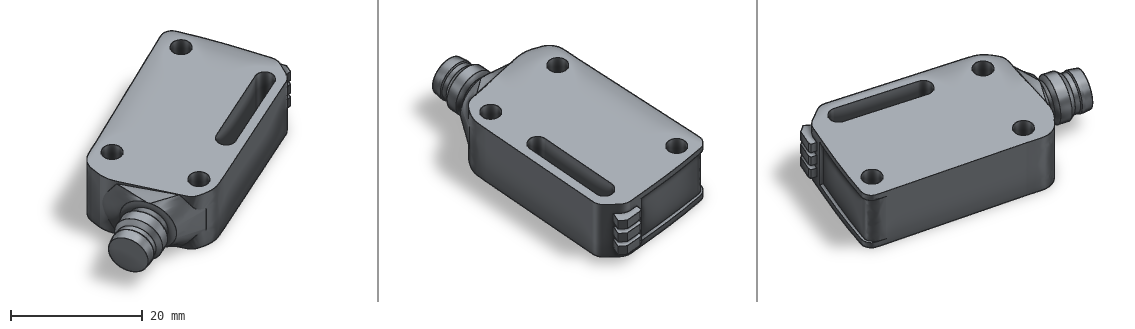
import cadquery as cq
import math


thickness = 11.0
half_thickness = thickness / 2
left_x = -13.05
right_x = 8.47
left_side_top_y = 32.9
left_side_bottom = (-12.35, 7.96)
right_side_top = (right_x, 31.9)
right_side_bottom = (right_x, 9.06)
back_corner_end = (-11.1, 35.3)
back_edge_end = (4.4, 35.92)
front_wall_right = (4.8, 2.77)
front_wall_left = (-5.7, 1.42)

hole_diameter = 3.3
left_hole_x = -9.2
right_hole_x = 5.28
front_hole_y = 7.0
back_hole_y = 32.37
slot_width = 3.2
slot_front_y = 15.4
slot_back_y = 32.8

recess_height = 8.84
recess_start_y = 31.76
recess_depth = 0.66
recess_end_x = 2.0

button_height = 1.78
button_pitch = 2.68
button_count = 3
button_top_y = 37.1
button_left_x = 3.04

mouth_half_width = 4.72
mouth_half_height = 4.52
mouth_side_angle = 15.0
mouth_flat = 0.3
neck_slope = 0.34
neck_left_depth = 2.0
neck_left_flat_x = -8.3
neck_left_tip_x = -9.4
neck_right_depth = 4.7
neck_right_flat_x = 6.7
neck_right_x = 7.55
neck_right_half_height = 2.0
neck_facet_left_x = -6.0

connector_length = 7.37
stem_radius = 3.31
collar_radius = 4.0
tip_radius = 3.47
collar_start = 1.03
collar_full = 1.70
collar_taper = 3.59
collar_end = 4.44
tip_start = 5.33
tip_full = 5.55
tip_taper = 6.1


def make_housing():
    outline = (
        cq.Workplane("XY", origin=(0, 0, -half_thickness))
        .moveTo(*left_side_bottom)
        .lineTo(left_x, left_side_top_y)
        .spline(
            [(left_x + 0.28, 34.4), (-12.2, 34.98), back_corner_end],
            tangents=[(0, 1), (1, 0.12)],
            includeCurrent=True,
        )
        .threePointArc((-6.0, 35.7), (0.0, 35.88))
        .lineTo(*back_edge_end)
        .threePointArc((5.5, 35.6), (6.3, 34.95))
        .lineTo(7.75, 33.6)
        .threePointArc((8.3, 32.8), right_side_top)
        .lineTo(*right_side_bottom)
        .spline(
            [(8.06, 5.7), (6.9, 3.9), front_wall_right],
            tangents=[(0, -1), (-1, -0.13)],
            includeCurrent=True,
        )
        .lineTo(*front_wall_left)
        .threePointArc((-7.3, 1.37), (-8.77, 1.65))
        .lineTo(-10.5, 2.4)
        .spline(
            [(-11.9, 3.7), left_side_bottom],
            tangents=[(-1, 0.44), (-0.03, 1)],
            includeCurrent=True,
        )
        .close()
    )
    return outline.extrude(thickness)


def left_side_x(y):
    bottom_x, bottom_y = left_side_bottom
    taper = (left_x - bottom_x) / (left_side_top_y - bottom_y)
    return bottom_x + taper * (y - bottom_y)


def make_corner_recess():
    margin = 1.0
    outer_y = back_edge_end[1] + margin
    step_y = back_edge_end[1] - recess_depth
    return (
        cq.Workplane("XY", origin=(0, 0, -recess_height / 2))
        .moveTo(left_side_x(recess_start_y), recess_start_y)
        .spline(
            [(-12.83, 33.6), (-12.25, 34.45), (-11.1, 34.85)],
            tangents=[(0, 1), (1, 0.12)],
            includeCurrent=True,
        )
        .threePointArc((-5.0, 35.16), (recess_end_x, step_y))
        .lineTo(recess_end_x, outer_y)
        .lineTo(left_x - margin, outer_y)
        .lineTo(left_x - margin, recess_start_y)
        .close()
        .extrude(recess_height)
    )


def make_holes():
    bottom = cq.Workplane("XY", origin=(0, 0, -half_thickness))
    centers = [
        (left_hole_x, front_hole_y),
        (left_hole_x, back_hole_y),
        (right_hole_x, front_hole_y),
    ]
    holes = bottom.pushPoints(centers).circle(hole_diameter / 2).extrude(thickness)
    slot = (
        bottom.center(right_hole_x, (slot_front_y + slot_back_y) / 2)
        .slot2D(slot_back_y - slot_front_y, slot_width, 90)
        .extrude(thickness)
    )
    return holes.union(slot)


def make_button(center_z):
    profile = [
        (button_left_x, 35.0),
        (button_left_x, 36.9),
        (3.5, button_top_y),
        (6.23, button_top_y),
        (7.33, 36.2),
        (6.6, 34.2),
    ]
    return (
        cq.Workplane("XY", origin=(0, 0, center_z - button_height / 2))
        .polyline(profile)
        .close()
        .extrude(button_height)
    )


def facet_height(y):
    return mouth_half_height + neck_slope * y


def mouth_point(degrees):
    angle = math.radians(degrees)
    return mouth_half_width * math.cos(angle), mouth_half_height * math.sin(angle)


def ruled_loft(near_wire, far_wire):
    return cq.Workplane(cq.Solid.makeLoft([near_wire, far_wire], True))


def section_plane(y):
    return cq.Workplane(cq.Plane(origin=(0, y, 0), xDir=(1, 0, 0), normal=(0, -1, 0)))


def left_section(y, inner_x, flat_x, tip_x, height):
    return (
        section_plane(y)
        .moveTo(inner_x, height)
        .lineTo(flat_x, height)
        .threePointArc((tip_x, 0), (flat_x, -height))
        .lineTo(inner_x, -height)
        .close()
        .wire()
        .val()
    )


def make_neck_left():
    mouth = left_section(0, mouth_flat, -mouth_flat, -mouth_half_width, mouth_half_height)
    base = left_section(
        neck_left_depth,
        mouth_flat,
        neck_left_flat_x,
        neck_left_tip_x,
        facet_height(neck_left_depth),
    )
    return ruled_loft(mouth, base)


def make_neck_right():
    mouth_side_x, mouth_side_z = mouth_point(mouth_side_angle)
    bulge_x, bulge_z = mouth_point((mouth_side_angle + 90) / 2)
    mouth = (
        section_plane(0)
        .moveTo(-mouth_flat, mouth_half_height)
        .lineTo(mouth_flat, mouth_half_height)
        .threePointArc((bulge_x, bulge_z), (mouth_side_x, mouth_side_z))
        .threePointArc((mouth_half_width, 0), (mouth_side_x, -mouth_side_z))
        .threePointArc((bulge_x, -bulge_z), (mouth_flat, -mouth_half_height))
        .lineTo(-mouth_flat, -mouth_half_height)
        .close()
        .wire()
        .val()
    )
    height = facet_height(neck_right_depth)
    base = (
        section_plane(neck_right_depth)
        .moveTo(neck_facet_left_x, height)
        .lineTo(neck_right_flat_x, height)
        .lineTo(neck_right_x, neck_right_half_height)
        .lineTo(neck_right_x, -neck_right_half_height)
        .lineTo(neck_right_flat_x, -height)
        .lineTo(neck_facet_left_x, -height)
        .close()
        .wire()
        .val()
    )
    return ruled_loft(mouth, base)


def make_neck():
    slab_size = 4 * thickness
    slab = cq.Workplane("XY").box(slab_size, slab_size, thickness)
    return make_neck_left().union(make_neck_right()).intersect(slab)


def make_connector():
    root_overlap = 1.0
    profile = [
        (0, root_overlap),
        (stem_radius, root_overlap),
        (stem_radius, -collar_start),
        (collar_radius, -collar_full),
        (collar_radius, -collar_taper),
        (stem_radius, -collar_end),
        (stem_radius, -tip_start),
        (tip_radius, -tip_full),
        (tip_radius, -tip_taper),
        (stem_radius, -connector_length),
        (0, -connector_length),
    ]
    return cq.Workplane("XY").polyline(profile).close().revolve(360, (0, 0, 0), (0, 1, 0))


body = make_housing().union(make_neck()).union(make_connector())
body = body.cut(make_corner_recess()).cut(make_holes())
for index in range(button_count):
    body = body.union(make_button((index - (button_count - 1) / 2) * button_pitch))

result = body